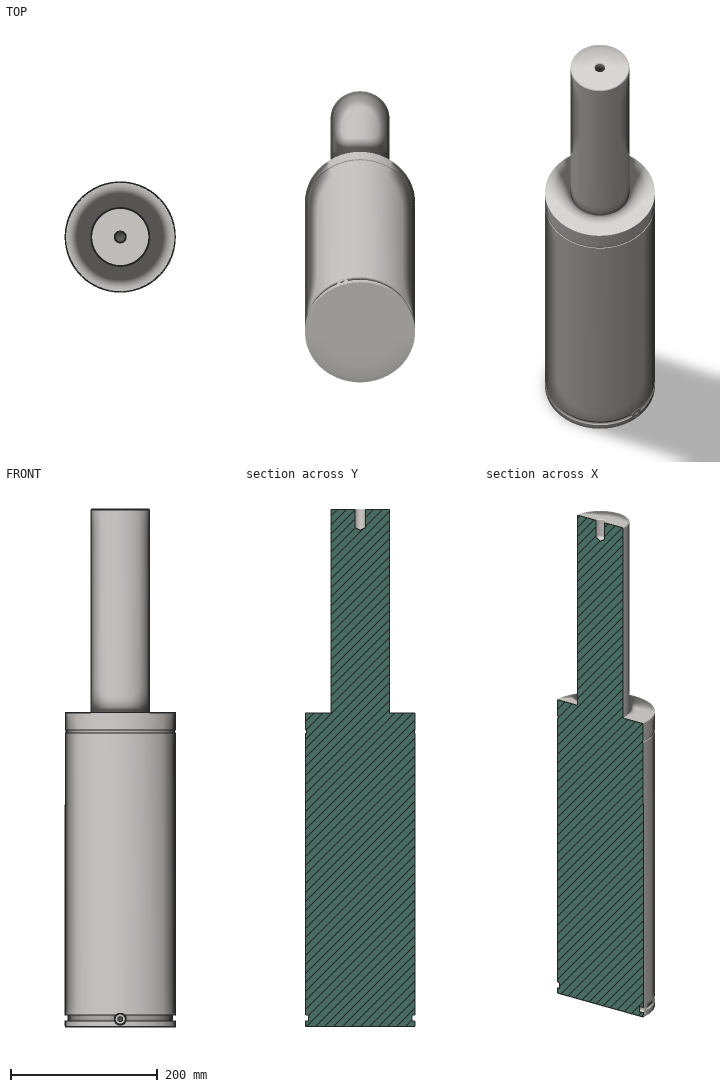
import cadquery as cq
import math

body_diameter = 150.0
body_height = 428.0
total_height = 705.0

rod_diameter = 80.0
rod_chamfer = 1.0

head_height = 24.0
head_groove_width = 4.0
head_groove_depth = 1.0

lip_height = 8.0
mount_groove_width = 8.0
mount_groove_depth = 4.0

plug_diameter = 16.0
plug_face_diameter = 14.0
plug_height = 10.5
plug_length = 10.0
socket_across_flats = 6.0
socket_depth = 7.0
socket_turn = 30.0

rod_hole_diameter = 14.0
rod_hole_mouth_diameter = 16.0
rod_hole_depth = 25.0
drill_point_height = 3.5

body_radius = body_diameter / 2


def ring_groove(bottom, width, depth):
    """Ring that removes a square groove from the body wall."""
    return (
        cq.Workplane("XY", origin=(0, 0, bottom))
        .circle(body_radius + depth)
        .circle(body_radius - depth)
        .extrude(width)
    )


def cylinder():
    """Cylinder body with its two grooves."""
    body = cq.Workplane("XY").circle(body_radius).extrude(body_height)
    head_groove_bottom = body_height - head_height - head_groove_width
    body = body.cut(ring_groove(head_groove_bottom, head_groove_width, head_groove_depth))
    return body.cut(ring_groove(lip_height, mount_groove_width, mount_groove_depth))


def rod():
    """Piston rod standing on the cylinder head."""
    return (
        cq.Workplane("XY", origin=(0, 0, body_height))
        .circle(rod_diameter / 2)
        .extrude(total_height - body_height)
        .faces(">Z")
        .chamfer(rod_chamfer)
    )


def rod_hole():
    """Blind drilled hole with a conical point and a chamfered mouth."""
    radius = rod_hole_diameter / 2
    mouth_radius = rod_hole_mouth_diameter / 2
    floor = total_height - rod_hole_depth
    return (
        cq.Workplane("XZ")
        .moveTo(0, floor - drill_point_height)
        .lineTo(radius, floor)
        .lineTo(radius, total_height - (mouth_radius - radius))
        .lineTo(mouth_radius, total_height)
        .lineTo(0, total_height)
        .close()
        .revolve(360, (0, 0, 0), (0, 1, 0))
    )


def plug_plane():
    """Plane of the plug face, touching the -Y side of the body, with its normal outward."""
    return cq.Workplane("XZ", origin=(0, -body_radius, plug_height))


def plug_seat():
    """Round bore in the body that receives the plug."""
    return plug_plane().circle(plug_diameter / 2).extrude(-plug_length)


def plug():
    """Plug with a chamfered face and a hexagon socket that has corners up and down."""
    chamfer = (plug_diameter - plug_face_diameter) / 2
    across_corners = socket_across_flats / math.cos(math.pi / 6)
    socket = (
        plug_plane()
        .transformed(rotate=(0, 0, socket_turn))
        .polygon(6, across_corners)
        .extrude(-socket_depth)
    )
    return plug_seat().faces("<Y").chamfer(chamfer).cut(socket)


result = cylinder().union(rod()).cut(rod_hole())
result = result.cut(plug_seat()).union(plug())